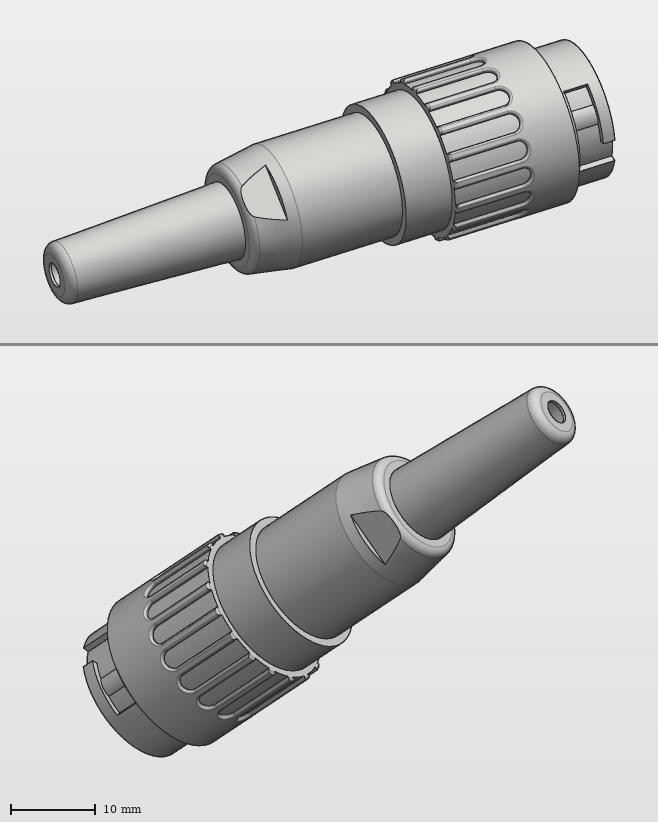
import cadquery as cq
import math


ring_end = 5.5
grip_end = 21.55
collar_end = 27.6
barrel_end = 40.7
shoulder_end = 46.8
overall_length = 69.5

ring_diameter = 17.0
grip_diameter = 20.0
collar_diameter = 17.4
barrel_diameter = 15.35
shoulder_face_diameter = 11.6
sleeve_base_diameter = 9.6
tip_face_diameter = 5.35

shoulder_half_angle = 9.8
shoulder_round = 1.05
sleeve_half_angle = 2.1
tip_round = 1.2

cable_hole_diameter = 3.0
cable_lip_thickness = 0.35
cable_bore_diameter = 4.2
cable_bore_depth = 6.95

flat_start = 42.2
flat_distance = 6.5
flat_angle = 55.0

panel_count = 18
panel_first_angle = 88.0
panel_start = 11.6
panel_width = 2.3
panel_depth = 0.5
panel_edge_round = 0.3

slot_floor_diameter = 15.5
slot_start = 1.5
slot_end = 4.65
slot_top_angle = 11.7
mouth_bottom_angle = -9.4
slot_bottom_angle = -60.5
detent_angle = -34.5
detent_radius = 2.1
detent_height = 0.3


def along_axis(solid):
    """Lay a solid built upward from z = 0 along -Y, starting at the mating face."""
    return solid.rotate((0, 0, 0), (1, 0, 0), 90)


def turned_body():
    """Revolve the stepped outline, with distance from the mating face as height."""
    shoulder_tilt = math.radians(shoulder_half_angle)
    shoulder_round_start = shoulder_end - shoulder_round * (1 - math.sin(shoulder_tilt))
    shoulder_round_radius = shoulder_face_diameter / 2 + shoulder_round * math.cos(shoulder_tilt)
    sleeve_tilt = math.radians(sleeve_half_angle)
    tip_round_start = overall_length - tip_round * (1 - math.sin(sleeve_tilt))
    tip_round_radius = tip_face_diameter / 2 + tip_round * math.cos(sleeve_tilt)

    def round_middle(face_radius, face_height, radius, tilt):
        """Middle point of the arc that joins a taper to the flat face at its end."""
        turn = (math.pi / 2 + tilt) / 2
        return (
            face_radius + radius * math.sin(turn),
            face_height - radius * (1 - math.cos(turn)),
        )

    outline = (
        cq.Workplane("XZ")
        .moveTo(0, 0)
        .lineTo(ring_diameter / 2, 0)
        .lineTo(ring_diameter / 2, ring_end)
        .lineTo(grip_diameter / 2, ring_end)
        .lineTo(grip_diameter / 2, grip_end)
        .lineTo(collar_diameter / 2, grip_end)
        .lineTo(collar_diameter / 2, collar_end)
        .lineTo(barrel_diameter / 2, collar_end)
        .lineTo(barrel_diameter / 2, barrel_end)
        .lineTo(shoulder_round_radius, shoulder_round_start)
        .threePointArc(
            round_middle(shoulder_face_diameter / 2, shoulder_end, shoulder_round, shoulder_tilt),
            (shoulder_face_diameter / 2, shoulder_end),
        )
        .lineTo(sleeve_base_diameter / 2, shoulder_end)
        .lineTo(tip_round_radius, tip_round_start)
        .threePointArc(
            round_middle(tip_face_diameter / 2, overall_length, tip_round, sleeve_tilt),
            (tip_face_diameter / 2, overall_length),
        )
        .lineTo(0, overall_length)
        .close()
    )
    return along_axis(outline.revolve(360, (0, 0), (0, 1)))


def ring_band(inner_diameter, outer_diameter, start, end):
    """Tube around the axis between two distances from the mating face."""
    band = (
        cq.Workplane("XY")
        .workplane(offset=start)
        .circle(outer_diameter / 2)
        .circle(inner_diameter / 2)
        .extrude(end - start)
    )
    return along_axis(band)


def grip_panels():
    """Cutters for the ring of grip panels, each with a floor that follows the grip."""
    floor_diameter = grip_diameter - 2 * panel_depth
    band = ring_band(floor_diameter, 2 * grip_diameter, panel_start, grip_end)
    half_width = panel_width / 2
    panel = (
        cq.Workplane("XY")
        .moveTo(-half_width, -grip_end)
        .lineTo(-half_width, -panel_start - half_width)
        .threePointArc((0, -panel_start), (half_width, -panel_start - half_width))
        .lineTo(half_width, -grip_end)
        .close()
        .extrude(grip_diameter)
        .intersect(band)
    )
    cutters = cq.Workplane("XY")
    for index in range(panel_count):
        angle = panel_first_angle + index * 360 / panel_count
        cutters = cutters.add(panel.rotate((0, 0, 0), (0, 1, 0), 90 - angle))
    return cutters.combine()


def round_panel_edges(body):
    """Round the rims of the panels and the ends of the lands between them."""
    tolerance = 0.01

    def on_panel_rim(edge):
        points = [edge.positionAt(fraction) for fraction in (0, 0.5, 1)]
        return all(
            abs(math.hypot(point.x, point.z) - grip_diameter / 2) < tolerance
            and point.y < tolerance - panel_start
            for point in points
        )

    return body.edges().filter(on_panel_rim).fillet(panel_edge_round)


def slot_sector(start_angle, end_angle, start, end):
    """Cutter for one stretch of the bayonet slot on the -X side, angles rising toward +Z."""
    reach = 2 * ring_diameter
    corners = [
        (-reach * math.cos(math.radians(angle)), reach * math.sin(math.radians(angle)))
        for angle in (start_angle, end_angle)
    ]
    wedge = (
        cq.Workplane("XY")
        .workplane(offset=start)
        .polyline([(0, 0)] + corners)
        .close()
        .extrude(end - start)
    )
    return along_axis(wedge).intersect(ring_band(slot_floor_diameter, 2 * ring_diameter, start, end))


def bayonet_slot():
    """L-shaped slot: an open mouth and a channel that turns behind the lip."""
    mouth = slot_sector(slot_top_angle, mouth_bottom_angle, 0, slot_end)
    channel = slot_sector(slot_top_angle, slot_bottom_angle, slot_start, slot_end)
    return mouth.union(channel)


def detent_ridge():
    """Round ridge across the slot floor that holds the bayonet pin."""
    center_distance = slot_floor_diameter / 2 + detent_height - detent_radius
    angle = math.radians(detent_angle)
    ridge = (
        cq.Workplane("XY")
        .workplane(offset=slot_start)
        .center(-center_distance * math.cos(angle), center_distance * math.sin(angle))
        .circle(detent_radius)
        .extrude(slot_end - slot_start)
    )
    return along_axis(ridge)


def wrench_flat():
    """Cutter that leaves one flat on the shoulder."""
    block = (
        cq.Workplane("XY")
        .workplane(offset=flat_start)
        .center(flat_distance + barrel_diameter / 2, 0)
        .rect(barrel_diameter, 2 * barrel_diameter)
        .extrude(shoulder_end - flat_start)
    )
    return along_axis(block.rotate((0, 0, 0), (0, 0, 1), flat_angle))


def cable_hole():
    """Cutter for the hole in the tip and the wider bore behind its lip."""
    lip_start = overall_length - cable_lip_thickness
    entry = (
        cq.Workplane("XY")
        .workplane(offset=overall_length - cable_bore_depth)
        .circle(cable_bore_diameter / 2)
        .extrude(cable_bore_depth - cable_lip_thickness)
        .union(
            cq.Workplane("XY")
            .workplane(offset=lip_start)
            .circle(cable_hole_diameter / 2)
            .extrude(cable_lip_thickness)
        )
    )
    return along_axis(entry)


connector = turned_body().cut(grip_panels())
connector = round_panel_edges(connector)
for half_turn in (0, 180):
    connector = connector.cut(bayonet_slot().rotate((0, 0, 0), (0, 1, 0), half_turn))
    connector = connector.union(detent_ridge().rotate((0, 0, 0), (0, 1, 0), half_turn))
    connector = connector.cut(wrench_flat().rotate((0, 0, 0), (0, 1, 0), half_turn))
result = connector.cut(cable_hole())